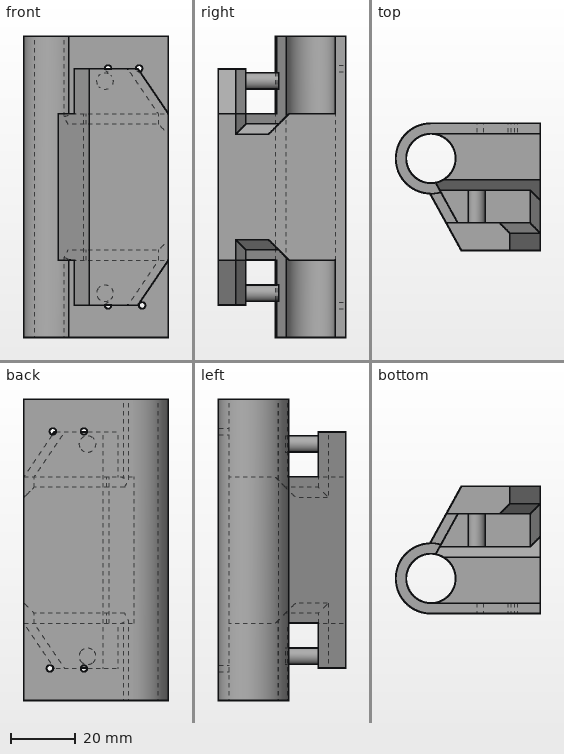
import cadquery as cq
import math

height = 92.9
barrel_radius = 10.9
bore_radius = 15.15 / 2
right_x = 44.6 - barrel_radius

front_y = barrel_radius - 39.3
block_back_y = -19.9
block_height = 72.9
web_top_x = -0.3
block_front_x = 9.4
web_thickness = 3.2
slope = (block_front_x - web_top_x) / (-barrel_radius - front_y)
web_width = web_thickness * math.hypot(1, slope)
corner_cut_x = 9.4

core_height = 45.2
bevel = 3.2
ledge_y = -6.6
recess_y = ledge_y - bevel
core_top = core_height / 2
block_top = block_height / 2
recess_top = core_top - bevel

pin_diameter = 5.1
pin_x = 14.1
pin_z = 32.7
hole_diameter = 1.95
hole_z = 36.5
hole_x = 15.15
upper_hole_x = 24.7
lower_hole_x = 25.65


def web_outer_x(y):
    """X of the sloped outer side at a given Y."""
    return web_top_x + slope * (-barrel_radius - y)


def web_inner_x(y):
    return web_outer_x(y) + web_width


def prism(points, length):
    """XY outline extruded equally above and below z = 0."""
    return cq.Workplane("XY").polyline(points).close().extrude(length / 2, both=True)


def clip():
    """Back plate running into a hooked barrel that ends at the web's inner side."""
    barrel = cq.Workplane("XY").circle(barrel_radius).extrude(height / 2, both=True)
    mouth = prism(
        [
            (0, bore_radius),
            (right_x, bore_radius),
            (right_x, -barrel_radius),
            (web_inner_x(-barrel_radius), -barrel_radius),
            (web_inner_x(0), 0),
        ],
        height,
    )
    plate = prism(
        [(0, bore_radius), (right_x, bore_radius), (right_x, barrel_radius), (0, barrel_radius)],
        height,
    )
    return barrel.cut(mouth).union(plate)


def core():
    """Filling between plate and block, recessed at both ends with bevelled edges."""
    web = prism(
        [
            (web_outer_x(ledge_y), ledge_y),
            (web_inner_x(ledge_y), ledge_y),
            (web_inner_x(block_back_y), block_back_y),
            (web_outer_x(block_back_y), block_back_y),
        ],
        core_height,
    )
    ledge = prism(
        [(0, bore_radius), (right_x, bore_radius), (right_x, ledge_y), (0, ledge_y)],
        core_height,
    )
    ramp_end_y = recess_y - bevel
    ramp_end_z = recess_top - bevel
    ramp = (
        cq.Workplane("YZ", origin=(web_inner_x(ledge_y), 0, 0))
        .polyline(
            [
                (ledge_y, core_top),
                (ramp_end_y, ramp_end_z),
                (ramp_end_y, -ramp_end_z),
                (ledge_y, -core_top),
            ]
        )
        .close()
        .extrude(right_x - web_inner_x(ledge_y))
    )
    floor_left_x = web_outer_x(recess_y) + web_width / 2
    recessed = (
        cq.Workplane("XY")
        .box(right_x - floor_left_x, ledge_y - block_back_y + bevel, 2 * recess_top, centered=False)
        .translate((floor_left_x, block_back_y - bevel, -recess_top))
        .edges(">X and (>Z or <Z)")
        .chamfer(bevel)
    )
    outer_side = prism(
        [
            (web_outer_x(ledge_y), ledge_y),
            (right_x, ledge_y),
            (right_x, front_y),
            (web_outer_x(front_y), front_y),
        ],
        core_height,
    )
    return web.union(ledge).union(ramp).union(recessed.intersect(outer_side))


def front_block():
    """Block with two cut corners and a bevel along the cut corners and right side at its back."""
    block = prism(
        [
            (web_outer_x(block_back_y), block_back_y),
            (right_x, block_back_y),
            (right_x, front_y),
            (block_front_x, front_y),
        ],
        block_height,
    )

    def corner_outline(side_x):
        return [
            (web_top_x, block_top),
            (side_x - corner_cut_x, block_top),
            (side_x, core_top),
            (side_x, -core_top),
            (side_x - corner_cut_x, -block_top),
            (web_top_x, -block_top),
        ]

    bevel_front_y = block_back_y - bevel
    front_part = (
        cq.Workplane("XZ", origin=(0, front_y, 0))
        .polyline(corner_outline(right_x))
        .close()
        .extrude(front_y - bevel_front_y)
    )
    back_part = (
        cq.Workplane("XZ", origin=(0, bevel_front_y, 0))
        .polyline(corner_outline(right_x))
        .close()
        .workplane(offset=-bevel)
        .polyline(corner_outline(right_x - bevel))
        .close()
        .loft(ruled=True)
    )
    return block.intersect(front_part.union(back_part))


def pins():
    """Two pins standing on the back of the block, above and below the core."""
    return (
        cq.Workplane("XZ", origin=(0, recess_y, 0))
        .pushPoints([(pin_x, pin_z), (pin_x, -pin_z)])
        .circle(pin_diameter / 2)
        .extrude(recess_y - block_back_y)
    )


def bore():
    return cq.Workplane("XY").circle(bore_radius).extrude(height / 2, both=True)


def plate_holes():
    return (
        cq.Workplane("XZ", origin=(0, barrel_radius, 0))
        .pushPoints(
            [(hole_x, hole_z), (upper_hole_x, hole_z), (hole_x, -hole_z), (lower_hole_x, -hole_z)]
        )
        .circle(hole_diameter / 2)
        .extrude(barrel_radius - bore_radius)
    )


body = clip().union(core()).union(front_block()).union(pins())
result = body.cut(bore()).cut(plate_holes())